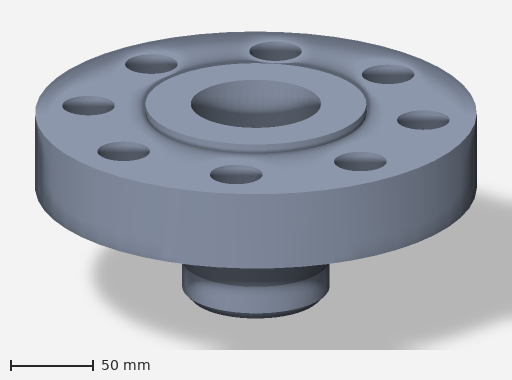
import cadquery as cq

flange_diameter = 266.7
total_height = 123.7
flange_thickness = 48.3

face_diameter = 133.4
face_height = 6.0

hub_base_diameter = 133.4
neck_diameter = 89.0
neck_length = 22.7
bevel_height = 5.3
bevel_width = 5.0
bore_diameter = 78.7

bolt_count = 8
bolt_circle_diameter = 203.5
bolt_hole_diameter = 31.7
first_bolt_angle = 180 / bolt_count

flange_top = total_height - face_height
flange_bottom = flange_top - flange_thickness


def flange_body():
    """Revolve the outer half profile about the Z axis."""
    neck_radius = neck_diameter / 2
    return (
        cq.Workplane("XZ")
        .lineTo(neck_radius - bevel_width, 0)
        .lineTo(neck_radius, bevel_height)
        .lineTo(neck_radius, neck_length)
        .lineTo(hub_base_diameter / 2, flange_bottom)
        .lineTo(flange_diameter / 2, flange_bottom)
        .lineTo(flange_diameter / 2, flange_top)
        .lineTo(face_diameter / 2, flange_top)
        .lineTo(face_diameter / 2, total_height)
        .lineTo(0, total_height)
        .close()
        .revolve(360, (0, 0), (0, 1))
    )


def bore():
    return cq.Workplane("XY").circle(bore_diameter / 2).extrude(total_height)


def bolt_holes():
    return (
        cq.Workplane("XY", origin=(0, 0, flange_bottom))
        .polarArray(bolt_circle_diameter / 2, first_bolt_angle, 360, bolt_count)
        .circle(bolt_hole_diameter / 2)
        .extrude(flange_thickness)
    )


result = flange_body().cut(bore()).cut(bolt_holes())